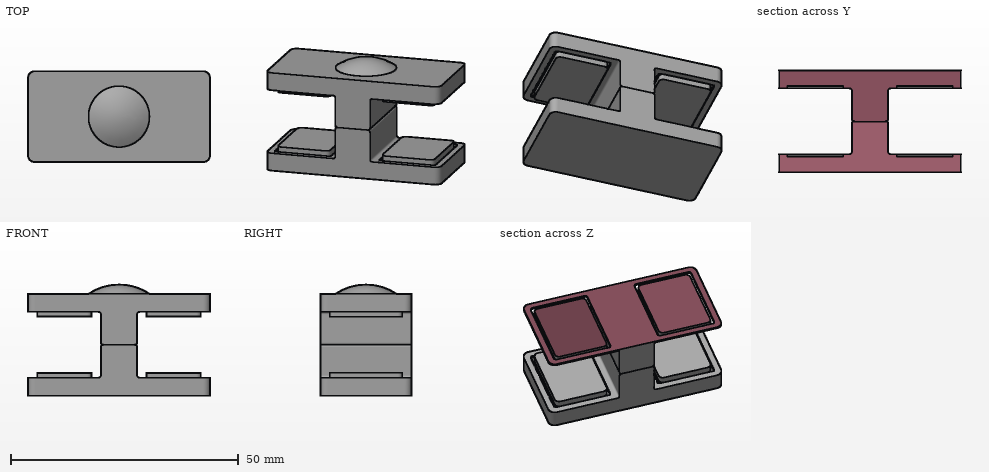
import cadquery as cq

length = 40.0
width = 20.0
plate_thickness = 4.0
half_height = 11.2
plate_corner_radius = 1.5
stem_width = 8.0
stem_root_radius = 0.5
stem_end_radius = 0.5

pad_length = 12.0
pad_width = 16.0
pad_corner_radius = 1.0
pad_offset = 12.0
pad_protrusion = 1.0
pocket_depth = 0.5
pocket_clearance = 0.5
pocket_corner_radius = 0.5

dome_height = 2.05
dome_sphere_radius = 12.0

stem_height = half_height - plate_thickness
pad_thickness = pocket_depth + pad_protrusion
pocket_floor = plate_thickness - pocket_depth
pocket_length = pad_length + 2 * pocket_clearance
pocket_width = pad_width + 2 * pocket_clearance
frame_height = 2 * half_height
pad_sides = (-1, 1)


def flipped_to_top(body):
    """Mirror a lower body through the joint plane to make its upper twin."""
    return body.mirror("XY", (0, 0, half_height))


def make_frame_half():
    """Lower half: rounded plate with a central stem and two pad pockets."""
    plate = (
        cq.Workplane("XY")
        .box(length, width, plate_thickness, centered=(True, True, False))
        .edges("|Z")
        .fillet(plate_corner_radius)
    )
    stem = (
        cq.Workplane("XY", origin=(0, 0, plate_thickness))
        .box(stem_width, width, stem_height, centered=(True, True, False))
        .faces(">Z")
        .edges("|Y")
        .fillet(stem_end_radius)
    )
    half_stem = stem_width / 2
    root_edges = cq.selectors.BoxSelector(
        (-half_stem - stem_root_radius, -width, plate_thickness - stem_root_radius),
        (half_stem + stem_root_radius, width, plate_thickness + stem_root_radius),
    )
    frame = plate.union(stem).edges("|Y").edges(root_edges).fillet(stem_root_radius)
    for side in pad_sides:
        pocket = (
            cq.Workplane("XY", origin=(side * pad_offset, 0, pocket_floor))
            .box(pocket_length, pocket_width, pocket_depth, centered=(True, True, False))
            .edges("|Z")
            .fillet(pocket_corner_radius)
        )
        frame = frame.cut(pocket)
    return frame


def make_pad(side):
    """Lower pad resting on the pocket floor at the given side of the stem."""
    return (
        cq.Workplane("XY", origin=(side * pad_offset, 0, pocket_floor))
        .box(pad_length, pad_width, pad_thickness, centered=(True, True, False))
        .edges("|Z")
        .fillet(pad_corner_radius)
    )


def make_dome():
    """Spherical cap seated on the flat outer face of the upper plate."""
    dome_top = frame_height + dome_height
    sphere = cq.Workplane("XY", origin=(0, 0, dome_top - dome_sphere_radius)).sphere(dome_sphere_radius)
    cap_space = cq.Workplane("XY", origin=(0, 0, frame_height)).box(
        length, length, dome_sphere_radius, centered=(True, True, False)
    )
    return sphere.intersect(cap_space)


lower_frame = make_frame_half()
upper_frame = flipped_to_top(lower_frame)
lower_pads = [make_pad(side) for side in pad_sides]
upper_pads = [flipped_to_top(pad) for pad in lower_pads]
dome = make_dome()

result = cq.Compound.makeCompound(
    [
        lower_frame.val(),
        upper_frame.val(),
        *[pad.val() for pad in lower_pads + upper_pads],
        dome.val(),
    ]
)